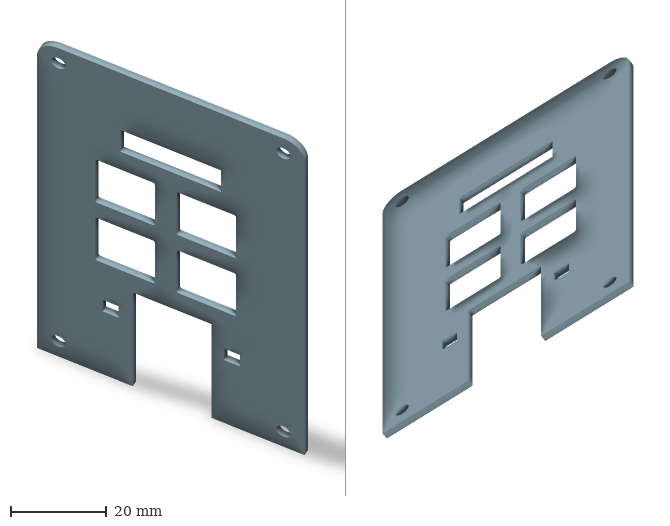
import cadquery as cq

plate_width = 63.0
plate_height = 102.0
plate_thickness = 1.5
corner_radius = 5.0
center_x = plate_width / 2

hole_diameter = 3.4
hole_inset = 5.0

window_width = 23.8
window_height = 7.1
window_bottom = 76.0

key_size = 14.1
key_corner_radius = 0.5
key_pitch = 19.2
key_grid_left = 13.7
key_grid_bottom = 36.8

notch_left = 22.5
notch_width = 18.6
notch_height = 31.0

port_size = 3.8
port_left = 15.4
port_pitch = 28.7
port_bottom = 20.8


def block(left, bottom, width, height):
    """Rectangular block through the plate thickness, placed by its lower left corner."""
    return cq.Workplane("XY").box(width, plate_thickness, height, centered=False).translate((left, 0, bottom))


def make_plate():
    """Flat plate with rounded upper corners and square lower corners."""
    return block(0, 0, plate_width, plate_height).edges("|Y and >Z").fillet(corner_radius)


def make_mounting_hole(x, z):
    """Round cutter through the plate thickness."""
    cutter = cq.Workplane("XZ").circle(hole_diameter / 2).extrude(-plate_thickness)
    return cutter.translate((x, 0, z))


def make_key_opening(left, bottom):
    """Square cutter with rounded corners."""
    return block(left, bottom, key_size, key_size).edges("|Y").fillet(key_corner_radius)


result = make_plate()

for x in (hole_inset, plate_width - hole_inset):
    for z in (hole_inset, plate_height - hole_inset):
        result = result.cut(make_mounting_hole(x, z))

window_left = center_x - window_width / 2
result = result.cut(block(window_left, window_bottom, window_width, window_height))

for column in range(2):
    for row in range(2):
        key_left = key_grid_left + column * key_pitch
        key_bottom = key_grid_bottom + row * key_pitch
        result = result.cut(make_key_opening(key_left, key_bottom))

result = result.cut(block(notch_left, 0, notch_width, notch_height))

for side in range(2):
    result = result.cut(block(port_left + side * port_pitch, port_bottom, port_size, port_size))